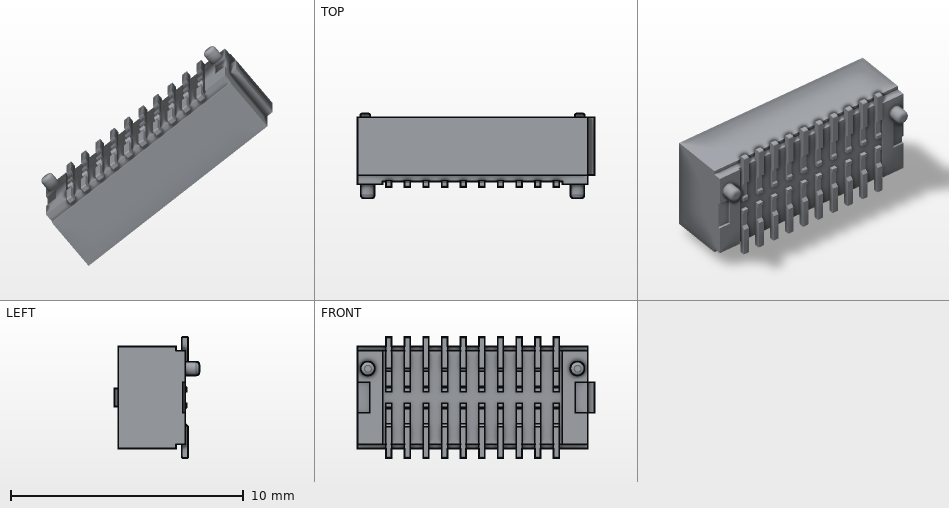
import cadquery as cq


overall_length = 10.2
housing_length = 9.9
housing_height = 4.4
shoulder_depth = 2.5
end_pad_depth = 2.89
shoulder_step = 0.18
end_pad_width = 1.09
floor_recess = 0.11
floor_depth = end_pad_depth - floor_recess

key_length = overall_length - housing_length
key_height = 1.33
pocket_width = 0.54
pocket_depth = 0.1

peg_diameter = 0.6
peg_tip_depth = 3.5
peg_tip_fillet = 0.15
peg_edge_distance = 0.45
peg_z = 1.24

pins_per_row = 10
pin_row_length = 7.2
pin_pitch = pin_row_length / (pins_per_row - 1)
pin_width = 0.25
pin_inner_depth = 2.73
pin_outer_depth = 3.01
pin_waist_depth = 2.88
pin_heel_depth = 2.95
pin_tip_z = 2.6
pin_tip_fillet = 0.06
tail_bend_start_z = 1.25
tail_bend_end_z = 1.12
heel_slope_start_z = 0.49
heel_slope_end_z = 0.42
pin_heel_z = 0.25

nub_height = 0.15
nub_width = 0.43
nub_fillet = 0.09
nub_length = 0.78
nub_edge_distance = 0.35


def block(length, y_back, y_front, height, x_center=0):
    """Box between two depths, centred on Z = 0."""
    return (
        cq.Workplane("XY")
        .box(length, y_front - y_back, height)
        .translate((x_center, -(y_back + y_front) / 2, 0))
    )


def make_housing():
    body = block(housing_length, 0, shoulder_depth, housing_height)
    raised_height = housing_height - 2 * shoulder_step
    raised = block(housing_length, 0, end_pad_depth, raised_height)
    pin_field_length = housing_length - 2 * end_pad_width
    pin_field = block(pin_field_length, floor_depth, end_pad_depth, raised_height)
    housing = body.union(raised).cut(pin_field)
    for side in (-1, 1):
        pocket_x = side * (housing_length - pocket_width) / 2
        pocket_floor = end_pad_depth - pocket_depth
        housing = housing.cut(
            block(pocket_width, pocket_floor, end_pad_depth, key_height, pocket_x)
        )
    key_x = (housing_length + key_length) / 2
    return housing.union(block(key_length, 0, shoulder_depth, key_height, key_x))


def make_peg(side):
    peg_x = side * (housing_length / 2 - peg_edge_distance)
    return (
        cq.Workplane("XZ", origin=(peg_x, 0, peg_z))
        .workplane(offset=shoulder_depth)
        .circle(peg_diameter / 2)
        .extrude(peg_tip_depth - shoulder_depth)
        .faces("<Y")
        .edges()
        .fillet(peg_tip_fillet)
    )


def make_upper_pin():
    """One upper-row pin, centred on X = 0."""
    profile = [
        (-pin_inner_depth, pin_heel_z),
        (-pin_heel_depth, pin_heel_z),
        (-pin_heel_depth, heel_slope_end_z),
        (-pin_waist_depth, heel_slope_start_z),
        (-pin_waist_depth, tail_bend_end_z),
        (-pin_outer_depth, tail_bend_start_z),
        (-pin_outer_depth, pin_tip_z),
        (-pin_inner_depth, pin_tip_z),
    ]
    pin = cq.Workplane("YZ").polyline(profile).close().extrude(pin_width / 2, both=True)
    return pin.faces(">Z").edges("|X").fillet(pin_tip_fillet)


def make_nub(side):
    nub_x = side * (housing_length / 2 - nub_edge_distance)
    nub = block(nub_width, -nub_height, 0, nub_length, nub_x)
    return nub.faces(">Y").edges("|Z").fillet(nub_fillet)


result = make_housing()
for side in (-1, 1):
    result = result.union(make_peg(side)).union(make_nub(side))

upper_pin = make_upper_pin()
lower_pin = upper_pin.mirror("XY")
for index in range(pins_per_row):
    pin_x = -pin_row_length / 2 + index * pin_pitch
    for pin in (upper_pin, lower_pin):
        result = result.union(pin.translate((pin_x, 0, 0)))